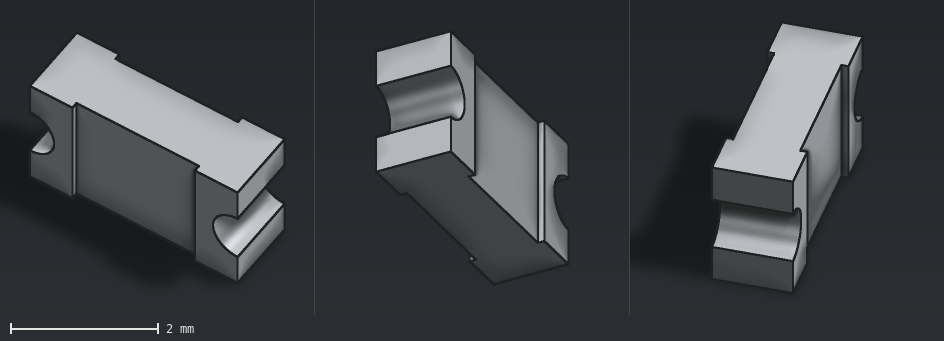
import cadquery as cq

length = 3.4
depth = 1.15
height = 1.9

terminal_length = 0.7
terminal_step = 0.1
notch_radius = 0.4

body_length = length - 2 * terminal_length
body_depth = depth - 2 * terminal_step


def terminal(side):
    """End block on the -X (side = -1) or +X (side = +1) end, with a round notch through it along Y."""
    center_x = side * (length - terminal_length) / 2
    block = cq.Workplane("XY").box(terminal_length, depth, height).translate((center_x, 0, 0))
    notch = (
        cq.Workplane("XZ")
        .center(side * length / 2, 0)
        .circle(notch_radius)
        .extrude(depth / 2, both=True)
    )
    return block.cut(notch)


result = cq.Workplane("XY").box(body_length, body_depth, height)
for side in (-1, 1):
    result = result.union(terminal(side))